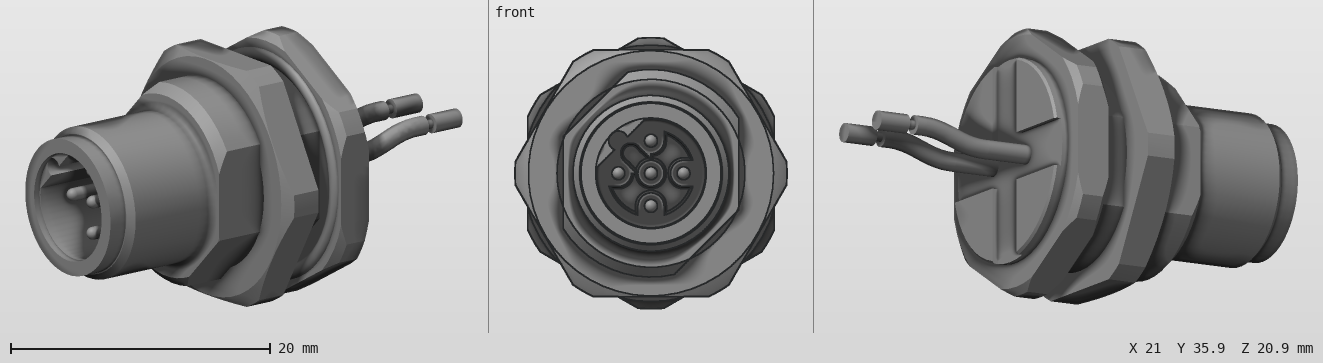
import cadquery as cq
import math


nose_dia = 10.8
nose_length = 1.47
barrel_dia = 12.0
barrel_start = 1.97
body_start = 9.5
root_fillet = 0.55
body_dia = 16.0
body_chamfer = 0.75
body_flat_distance = 6.78
body_flat_angles = (0, 180, 135, 315)

hex_across_flats = 19

nut_start = 13.48
nut_end = 16.3
nut_corner_dia = 20.97
nut_bore_dia = body_dia - 2 * body_chamfer
nut_chamfer_radial = 1.05
nut_chamfer_axial = 0.45

flange_start = 19.25
flange_end = 21.98
flange_corner_dia = 20.9
flange_chamfer_radial = 0.57
flange_front_chamfer = 0.55
flange_rear_chamfer = 0.43
ring_section_dia = 1.22
ring_centre_dia = 17.2
ring_front = 18.93
collar_end = 23.0
collar_chamfer = 0.18
collar_slot_width = 3.73
collar_slot_depth = 0.5

mouth_dia = 8.55
mouth_depth = 0.55
socket_dia = 8.4
socket_floor_fillet = 0.25
socket_floor = body_start - root_fillet
key_angle = 135
key_face_distance = 3.25
key_groove_dia = 1.5
key_groove_distance = 3.55

pin_dia = 1.0
pin_tip = 1.95
pin_pitch_radius = 2.5
pin_angles = (0, 90, 180, 270)
boss_dia = 2.0
pocket_dia = 6.78
pocket_depth = 1.0
pocket_taper = 11
pocket_lobe_dia = 1.58
pocket_lobe_distance = 2.2

wire_dia = 1.5
wire_core_dia = 0.7
wire_offset = 1.22
bend_start = 26.28
bend_end = 31.8
sleeve_end = 32.6
ferrule_start = 33.3
wire_end = 35.85


def across(y):
    """Workplane across the axis at y: local x is X, local y is Z, normal is -Y."""
    return cq.Workplane("XZ", origin=(0, y, 0))


def cylinder(diameter, start, end, x=0, z=0):
    return across(end).center(x, z).circle(diameter / 2).extrude(end - start)


def turned(profile):
    """Solid of revolution about Y from (radius, y) points."""
    return cq.Workplane("XY").polyline(profile).close().revolve(360, (0, 0, 0), (0, 1, 0))


def polar(distance, angle):
    """(x, z) of a point at a distance from the axis, at an angle from +X towards +Z."""
    return (distance * math.cos(math.radians(angle)), distance * math.sin(math.radians(angle)))


def half_space(distance, angle, start, end):
    """Block covering everything beyond a flat at a distance from the axis."""
    size = 2 * nut_corner_dia
    block = across(end).center(distance + size / 2, 0).rect(size, size).extrude(end - start)
    return block.rotate((0, 0, 0), (0, 1, 0), -angle)


def hexagon(start, end, first_corner):
    prism = across(end).polygon(6, hex_across_flats / math.cos(math.pi / 6)).extrude(end - start)
    return prism.rotate((0, 0, 0), (0, 1, 0), -first_corner)


def make_body():
    barrel_radius = barrel_dia / 2
    nose_radius = nose_dia / 2
    body_radius = body_dia / 2
    shell = (
        cq.Workplane("XY")
        .moveTo(0, 0)
        .lineTo(nose_radius, 0)
        .lineTo(nose_radius, nose_length)
        .lineTo(barrel_radius - (barrel_start - nose_length), nose_length)
        .lineTo(barrel_radius, barrel_start)
        .lineTo(barrel_radius, body_start - root_fillet)
        .radiusArc((barrel_radius + root_fillet, body_start), root_fillet)
        .lineTo(body_radius - body_chamfer, body_start)
        .lineTo(body_radius, body_start + body_chamfer)
        .lineTo(body_radius, flange_end)
        .lineTo(0, flange_end)
        .close()
        .revolve(360, (0, 0, 0), (0, 1, 0))
    )
    for angle in body_flat_angles:
        shell = shell.cut(half_space(body_flat_distance, angle, body_start, flange_start))
    return shell


def make_nut():
    radius = nut_corner_dia / 2
    envelope = turned([
        (0, nut_start),
        (radius - nut_chamfer_radial, nut_start),
        (radius, nut_start + nut_chamfer_axial),
        (radius, nut_end),
        (0, nut_end),
    ])
    nut = hexagon(nut_start, nut_end, 0).intersect(envelope)
    return nut.cut(cylinder(nut_bore_dia, nut_start, nut_end))


def make_flange():
    radius = flange_corner_dia / 2
    face_radius = radius - flange_chamfer_radial
    envelope = turned([
        (0, flange_start),
        (face_radius, flange_start),
        (radius, flange_start + flange_front_chamfer),
        (radius, flange_end - flange_rear_chamfer),
        (face_radius, flange_end),
        (0, flange_end),
    ])
    return hexagon(flange_start, flange_end, 30).intersect(envelope)


def make_sealing_ring():
    section_radius = ring_section_dia / 2
    centre_radius = ring_centre_dia / 2
    return (
        cq.Workplane("XY", origin=(centre_radius, ring_front + section_radius, 0))
        .circle(section_radius)
        .revolve(360, (-centre_radius, 0, 0), (-centre_radius, 1, 0))
    )


def make_collar():
    radius = body_dia / 2
    collar = turned([
        (0, flange_end),
        (radius, flange_end),
        (radius, collar_end - collar_chamfer),
        (radius - collar_chamfer, collar_end),
        (0, collar_end),
    ])
    cross_slot = (
        across(collar_end)
        .rect(collar_slot_width, body_dia)
        .extrude(collar_slot_depth)
        .union(across(collar_end).rect(body_dia, collar_slot_width).extrude(collar_slot_depth))
    )
    return collar.cut(cross_slot)


def make_socket():
    """Space of the socket, with the coding key left standing."""
    mouth = cylinder(mouth_dia, 0, mouth_depth)
    radius = socket_dia / 2
    cavity = (
        cq.Workplane("XY")
        .moveTo(0, 0)
        .lineTo(radius, 0)
        .lineTo(radius, socket_floor - socket_floor_fillet)
        .radiusArc((radius - socket_floor_fillet, socket_floor), -socket_floor_fillet)
        .lineTo(0, socket_floor)
        .close()
        .revolve(360, (0, 0, 0), (0, 1, 0))
    )
    key = half_space(key_face_distance, key_angle, mouth_depth, socket_floor)
    groove_x, groove_z = polar(key_groove_distance, key_angle)
    groove = cylinder(key_groove_dia, mouth_depth, socket_floor, groove_x, groove_z)
    return cavity.cut(key).union(groove).union(mouth)


def make_pocket():
    """Tapered relief around the pin bosses; the key side keeps only a rounded lobe."""
    pocket_radius = pocket_dia / 2
    arm_length = pocket_radius
    outline = (
        cq.Sketch()
        .circle(pocket_radius)
        .push([(-pocket_radius / 2, pocket_radius / 2)])
        .rect(pocket_radius, pocket_radius, mode="s")
        .reset()
        .push([polar(pocket_lobe_distance / 2, key_angle)])
        .slot(pocket_lobe_distance, pocket_lobe_dia, angle=key_angle, mode="a")
        .reset()
        .circle(boss_dia / 2, mode="s")
    )
    for angle in pin_angles:
        arm_middle = polar(pin_pitch_radius + arm_length / 2, angle)
        outline = outline.push([arm_middle]).slot(arm_length, boss_dia, angle=angle, mode="s").reset()
    return across(socket_floor).placeSketch(outline).extrude(-pocket_depth, taper=pocket_taper)


def make_pin(x, z):
    """Contact pin with a hemispherical tip."""
    radius = pin_dia / 2
    root = socket_floor + pocket_depth
    pin = (
        cq.Workplane("XY")
        .moveTo(0, pin_tip)
        .radiusArc((radius, pin_tip + radius), -radius)
        .lineTo(radius, root)
        .lineTo(0, root)
        .close()
        .revolve(360, (0, 0, 0), (0, 1, 0))
    )
    return pin.translate((x, 0, z))


def make_wire(x):
    """Insulated lead with an S-bend, a bared core and an end sleeve."""
    path = (
        cq.Workplane("YZ", origin=(x, 0, 0))
        .moveTo(flange_end, 0)
        .lineTo(bend_start, 0)
        .spline([(bend_end, wire_offset)], tangents=[(1, 0), (1, 0)], includeCurrent=True)
        .lineTo(sleeve_end, wire_offset)
    )
    lead = across(flange_end).center(x, 0).circle(wire_dia / 2).sweep(path)
    core = cylinder(wire_core_dia, sleeve_end, ferrule_start, x, wire_offset)
    ferrule = cylinder(wire_dia, ferrule_start, wire_end, x, wire_offset)
    return lead.union(core).union(ferrule)


result = make_body()
for rear_part in (make_nut(), make_flange(), make_sealing_ring(), make_collar()):
    result = result.union(rear_part)
result = result.cut(make_socket()).cut(make_pocket())

result = result.union(make_pin(0, 0))
for pin_angle in pin_angles:
    pin_x, pin_z = polar(pin_pitch_radius, pin_angle)
    result = result.union(make_pin(pin_x, pin_z))

for wire_x in (-pin_pitch_radius, pin_pitch_radius):
    result = result.union(make_wire(wire_x))